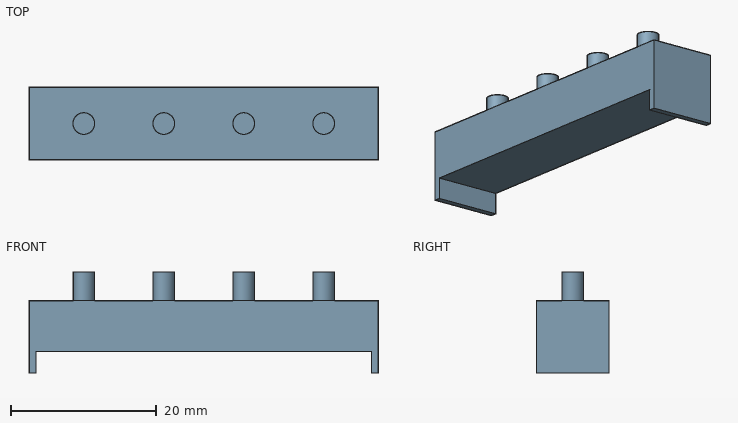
import cadquery as cq

length = 48.0
width = 10.0
total_height = 13.9

body_top = 10.0
leg_height = 3.0
leg_thickness = 0.95
pin_diameter = 3.0
pin_count = 4
pin_pitch = 11.0
pin_height = total_height - body_top


def make_body():
    """Long block with a full-width relief underneath, leaving a thin leg at each end."""
    block = cq.Workplane("XY").box(length, width, body_top, centered=(True, True, False))
    relief_length = length - 2 * leg_thickness
    relief = cq.Workplane("XY").box(relief_length, width, leg_height, centered=(True, True, False))
    return block.cut(relief)


def add_pins(body):
    """Row of round pins, centred on the top face."""
    return (
        body.faces(">Z")
        .workplane(origin=(0, 0, body_top))
        .rarray(pin_pitch, 0.5, pin_count, 1)
        .circle(pin_diameter / 2)
        .extrude(pin_height)
    )


result = add_pins(make_body())